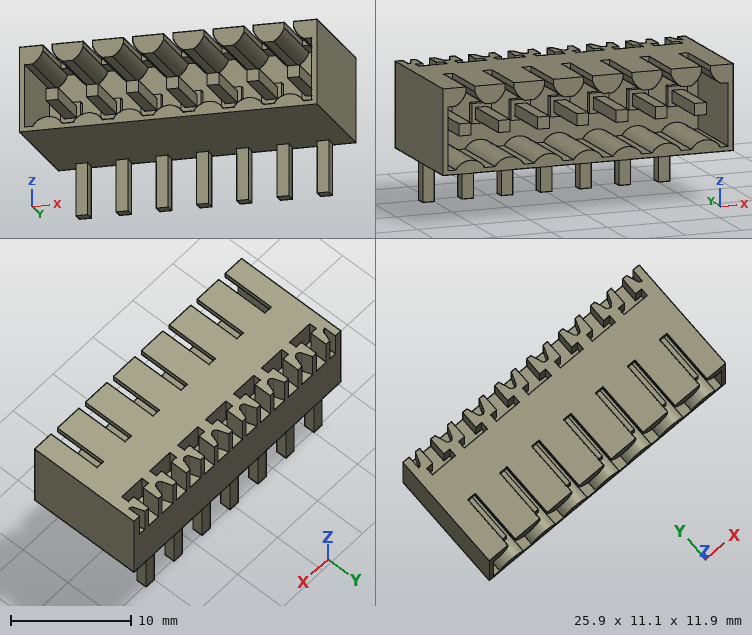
import cadquery as cq
import math

housing_width = 25.9
housing_depth = 11.05
housing_height = 7.4

pole_count = 7
end_margin = 0.7
pitch = (housing_width - 2 * end_margin) / pole_count

side_wall = 0.47
floor_thickness = 0.4
ceiling_z = 6.92
cavity_depth = 7

ceiling_rib_tip_width = 0.85
ceiling_rib_tip_z = 5.83
ceiling_rib_side_bulge = 0.13

floor_rib_width = 2.6
floor_rib_rise = 0.73

roof_slot_width = 0.8
roof_slot_length = 5.13

rear_recess_depth = 2.6
tee_stem_width = 1.22
tee_stem_length = 1.68
tee_bar_width = 2.5
tee_bar_length = 0.73
notch_mouth_width = 1.35
notch_depth = 1.2
notch_tip_radius = 0.35

boss_size = 1.74
boss_length = 0.5

pin_size = 1.04
pin_axis_z = 3.47
pin_tip_y = 1.27
pin_rear_gap = 0.35
pin_drop = 4.53

pole_positions = [(i - (pole_count - 1) / 2) * pitch for i in range(pole_count)]
between_positions = [(i - pole_count / 2) * pitch for i in range(pole_count + 1)]
cavity_width = housing_width - 2 * side_wall
pin_rear_y = housing_depth - pin_rear_gap


def block(x_size, y_start, y_end, z_start, z_end, x_center=0):
    """Box centred on x_center, between the given Y and Z limits."""
    box = cq.Workplane("XY").box(x_size, y_end - y_start, z_end - z_start, centered=(True, False, False))
    return box.translate((x_center, y_start, z_start))


def make_ceiling_rib(x):
    """Rib with bulging sides and a flat tip, kept inside the side walls."""
    half_root = (pitch - roof_slot_width) / 2
    half_tip = ceiling_rib_tip_width / 2
    rib = (
        cq.Workplane("XZ", origin=(x, 0, 0))
        .moveTo(-half_root, ceiling_z)
        .sagittaArc((-half_tip, ceiling_rib_tip_z), -ceiling_rib_side_bulge)
        .lineTo(half_tip, ceiling_rib_tip_z)
        .sagittaArc((half_root, ceiling_z), -ceiling_rib_side_bulge)
        .close()
        .extrude(-cavity_depth)
    )
    return rib.intersect(block(cavity_width, 0, cavity_depth, ceiling_rib_tip_z, ceiling_z))


def make_floor_rib(x):
    """Rib whose section is a circular arc standing on the cavity floor."""
    half_width = floor_rib_width / 2
    return (
        cq.Workplane("XZ")
        .moveTo(x - half_width, floor_thickness)
        .threePointArc((x, floor_thickness + floor_rib_rise), (x + half_width, floor_thickness))
        .close()
        .extrude(-cavity_depth)
    )


def make_boss(x):
    half_size = boss_size / 2
    return block(
        boss_size, cavity_depth - boss_length, cavity_depth, pin_axis_z - half_size, pin_axis_z + half_size, x
    )


def make_roof_slot(x):
    return block(roof_slot_width, 0, roof_slot_length, ceiling_z, housing_height, x)


def make_rear_tee(x):
    """T-shaped recess: the stem opens to the rear, the bar lies in front of it."""
    recess_floor_z = housing_height - rear_recess_depth
    stem_y = housing_depth - tee_stem_length
    stem = block(tee_stem_width, stem_y, housing_depth, recess_floor_z, housing_height, x)
    bar = block(tee_bar_width, stem_y - tee_bar_length, stem_y, recess_floor_z, housing_height, x)
    return stem.union(bar)


def make_rear_notch(x):
    """V-shaped recess with a round tip; the end ones are halved at the outer poles' limits."""
    half_mouth = notch_mouth_width / 2
    tip_y = housing_depth - notch_depth
    axis_depth = notch_depth - notch_tip_radius
    corner_to_axis = math.hypot(half_mouth, axis_depth)
    notch_half_angle = math.atan2(half_mouth, axis_depth) - math.asin(notch_tip_radius / corner_to_axis)
    tangent_x = notch_tip_radius * math.cos(notch_half_angle)
    tangent_y = tip_y + notch_tip_radius * (1 - math.sin(notch_half_angle))
    notch = (
        cq.Workplane("XY", origin=(x, 0, housing_height))
        .moveTo(-half_mouth, housing_depth)
        .lineTo(-tangent_x, tangent_y)
        .threePointArc((0, tip_y), (tangent_x, tangent_y))
        .lineTo(half_mouth, housing_depth)
        .close()
        .extrude(-rear_recess_depth)
    )
    pole_zone = block(pole_count * pitch, 0, housing_depth, 0, housing_height)
    return notch.intersect(pole_zone)


def make_pin(x):
    """Square pin: a contact arm along Y and a solder leg down from its rear end."""
    half_size = pin_size / 2
    top_z = pin_axis_z + half_size
    arm = block(pin_size, pin_tip_y, pin_rear_y, pin_axis_z - half_size, top_z, x)
    leg = block(pin_size, pin_rear_y - pin_size, pin_rear_y, -pin_drop, top_z, x)
    return arm.union(leg).clean()


def make_housing(pins):
    body = block(housing_width, 0, housing_depth, 0, housing_height)
    body = body.cut(block(cavity_width, 0, cavity_depth, floor_thickness, ceiling_z))
    for x in between_positions:
        body = body.union(make_ceiling_rib(x))
        body = body.cut(make_rear_notch(x))
    for x in pole_positions:
        body = body.union(make_floor_rib(x))
        body = body.union(make_boss(x))
        body = body.cut(make_roof_slot(x))
        body = body.cut(make_rear_tee(x))
    for pin in pins:
        body = body.cut(pin)
    return body


pins = [make_pin(x) for x in pole_positions]
housing = make_housing(pins)

result = cq.Compound.makeCompound([housing.val(), *[pin.val() for pin in pins]])